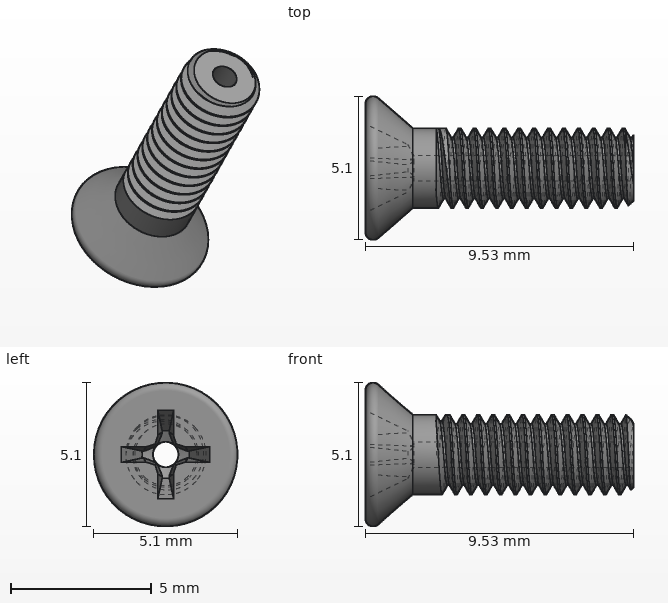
import cadquery as cq
import math

length = 9.53
bore_radius = 0.45

head_radius = 2.55
rim_radius = 0.28
head_half_angle = math.radians(41)

thread_radius = 1.42
root_radius = 1.1
thread_start = 2.53
thread_turns = 11
thread_turns_length = 5.81
pitch = thread_turns_length / thread_turns
groove_phase_x = 2.69
flank_angle = math.radians(30)
flank_slope = math.tan(flank_angle)
root_flat = 0.09
tip_radius = 1.15
tip_chamfer_length = 0.3
runout_start_angle = 32.0
runout_sweep = 122.0
runout_steps = 8
cutter_clearance = 0.02

wing_length = 1.57
wing_half_width = 0.281
wing_floor_length = 0.84
wing_floor_half_width = 0.12
wing_depth = 1.51
star_notch = 0.37
star_floor_notch = 0.31
star_floor_tip = 1.07
floor_angle = math.radians(28)


def make_blank():
    """Revolved head, plain shank and thread blank with a chamfered tip."""
    face_radius = head_radius - rim_radius
    cone_x = rim_radius * (1 + math.sin(head_half_angle))
    cone_radius = face_radius + rim_radius * math.cos(head_half_angle)
    shank_x = cone_x + (cone_radius - thread_radius) / math.tan(head_half_angle)
    profile = (
        cq.Workplane("XY")
        .lineTo(0, face_radius)
        .threePointArc((rim_radius, head_radius), (cone_x, cone_radius))
        .lineTo(shank_x, thread_radius)
        .lineTo(length - tip_chamfer_length, thread_radius)
        .lineTo(length, tip_radius)
        .lineTo(length, 0)
        .close()
    )
    return profile.revolve(360, (0, 0, 0), (1, 0, 0))


def groove_section(x, angle, depth_loss):
    """Trapezoid in the axial plane at an angle from +Z towards -Y."""
    turn = math.radians(angle)
    bottom = root_radius + depth_loss
    top = thread_radius + depth_loss + cutter_clearance
    bottom_half = root_flat / 2
    top_half = bottom_half + (top - bottom) * flank_slope
    corners = [(-bottom_half, bottom), (bottom_half, bottom), (top_half, top), (-top_half, top)]
    points = [
        cq.Vector(x + along, -radius * math.sin(turn), radius * math.cos(turn))
        for along, radius in corners
    ]
    return cq.Wire.makePolygon(points, close=True)


def helix(x, angle, height, radius):
    """Right-hand helix along +X, starting at an angle from +Z towards -Y."""
    path = cq.Wire.makeHelix(pitch, height, radius)
    path = path.rotate(cq.Vector(), cq.Vector(0, 1, 0), 90)
    path = path.rotate(cq.Vector(), cq.Vector(1, 0, 0), angle + 180)
    return path.translate(cq.Vector(x, 0, 0))


def make_groove_turn(start_x):
    """One full-depth turn of the helical groove."""
    section = groove_section(start_x, runout_start_angle, 0)
    path = helix(start_x, runout_start_angle, pitch, root_radius)
    return cq.Workplane("XY").add(cq.Solid.sweep(section, [], path, True, True))


def cut_thread(blank):
    """Cut the runout, then whole turns until the groove runs off the tip."""
    threaded = blank.cut(make_runout())
    first_turn_x = groove_phase_x + pitch * runout_start_angle / 360
    groove_half_width = root_flat / 2 + (thread_radius - root_radius) * flank_slope
    turns = math.ceil((length + groove_half_width - first_turn_x) / pitch)
    for turn in range(turns):
        threaded = threaded.cut(make_groove_turn(first_turn_x + turn * pitch))
    return threaded


def make_runout():
    """Start of the groove, deepening from the surface to full depth."""
    sections = []
    for step in range(runout_steps + 1):
        fraction = step / runout_steps
        angle = runout_start_angle - runout_sweep * (1 - fraction)
        x = groove_phase_x + pitch * angle / 360
        depth_loss = (thread_radius - root_radius) * (1 - fraction)
        sections.append(groove_section(x, angle, depth_loss))
    runout = cq.Workplane("XY").add(cq.Solid.makeLoft(sections))
    thread_zone = cq.Workplane("YZ", origin=(thread_start, 0, 0)).circle(head_radius).extrude(length)
    return runout.intersect(thread_zone)


def at_depth(top, floor, depth):
    """Size of a tapered recess feature, given its sizes at the face and at wing depth."""
    return top + (floor - top) * depth / wing_depth


def make_recess():
    """Four tapered wings and a flared star, ending on a conical floor."""
    depth = wing_depth + (wing_floor_length - bore_radius) * math.tan(floor_angle)
    end_length = at_depth(wing_length, wing_floor_length, depth)
    end_half_width = at_depth(wing_half_width, wing_floor_half_width, depth)

    def tapered_bar(half_width, end_half_width):
        return (
            cq.Workplane("YZ")
            .rect(2 * wing_length, 2 * half_width)
            .workplane(offset=depth)
            .rect(2 * end_length, 2 * end_half_width)
            .loft()
        )

    wing = tapered_bar(wing_half_width, end_half_width)
    wing_reach = tapered_bar(wing_length, end_length)

    def star(tip, notch):
        return [
            (tip, 0), (notch, notch), (0, tip), (-notch, notch),
            (-tip, 0), (-notch, -notch), (0, -tip), (notch, -notch),
        ]

    end_tip = at_depth(wing_length, star_floor_tip, depth)
    end_notch = at_depth(star_notch, star_floor_notch, depth)
    flare = (
        cq.Workplane("YZ")
        .polyline(star(wing_length, star_notch)).close()
        .workplane(offset=depth)
        .polyline(star(end_tip, end_notch)).close()
        .loft(ruled=True)
    )
    cone_depth = wing_depth + wing_floor_length * math.tan(floor_angle)
    cone_radius = cone_depth / math.tan(floor_angle)
    floor_cone = cq.Workplane("XY").add(
        cq.Solid.makeCone(cone_radius, 0, cone_depth, cq.Vector(), cq.Vector(1, 0, 0))
    )
    cross = wing.union(wing.rotate((0, 0, 0), (1, 0, 0), 90)).union(flare.intersect(wing_reach))
    return cross.intersect(floor_cone)


bore = cq.Workplane("YZ").circle(bore_radius).extrude(length)
result = cut_thread(make_blank()).cut(make_recess()).cut(bore)